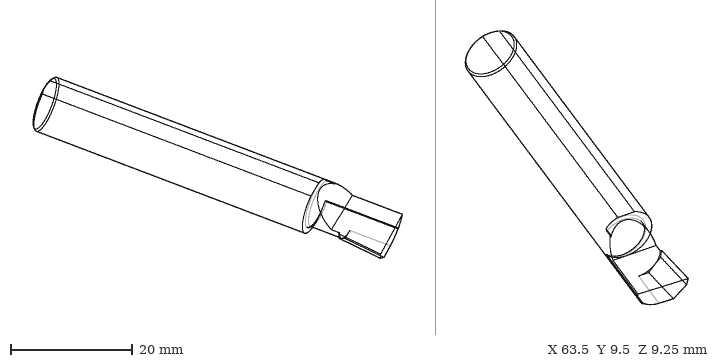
import cadquery as cq
import math

total_length = 63.5
shank_radius = 4.75
shank_length = 49.4
flat_height = 4.5
shank_chamfer = 0.3

neck_radius = 4.0
neck_offset = shank_radius - neck_radius
neck_fillet = 0.4
back_rib_y = 3.75

ramp_foot_x = 54.0

blade_start_x = 55.45
blade_start_y = -3.5
blade_tip_y = -4.3
flank_depth = 1.45
flank_lean = 0.2
lower_flank_angle = 49.0
end_skew = 0.4
end_relief = 0.45


def cylinder_x(radius, start, end, y=0.0):
    return cq.Workplane("YZ", origin=(start, y, 0)).circle(radius).extrude(end - start)


def make_shank():
    shank = cylinder_x(shank_radius, 0, shank_length).faces("<X").chamfer(shank_chamfer)
    above_flat = cq.Workplane("XY", origin=(0, 0, flat_height)).rect(
        2 * total_length, 2 * shank_radius
    ).extrude(shank_radius)
    return shank.cut(above_flat)


def make_neck():
    """Eccentric neck, its base fillet and the full-radius rib along the back."""
    neck = cylinder_x(neck_radius, shank_length, total_length, neck_offset)
    envelope = cylinder_x(shank_radius, shank_length, total_length)
    arc_offset = neck_fillet * (1 - math.sqrt(0.5))
    flare = (
        cq.Workplane("XY")
        .moveTo(shank_length, neck_offset)
        .lineTo(shank_length, shank_radius + neck_fillet)
        .threePointArc(
            (shank_length + arc_offset, shank_radius + arc_offset),
            (shank_length + neck_fillet, shank_radius),
        )
        .lineTo(shank_length + neck_fillet, neck_offset)
        .close()
        .revolve(360, (0, neck_offset, 0), (1, neck_offset, 0))
        .intersect(envelope)
    )
    rib_side = cq.Workplane("XY").box(
        total_length, shank_radius, 2 * shank_radius, centered=(False, False, True)
    ).translate((0, back_rib_y, 0))
    return neck.union(flare).union(envelope.intersect(rib_side))


def blade_section(edge_y):
    """Section points (Y, Z) of the blade for a cutting edge at the given Y."""
    flank_y = edge_y + flank_lean
    lower_run = (neck_radius - flank_depth) / math.tan(math.radians(lower_flank_angle))
    return [
        (edge_y, 0),
        (flank_y, -flank_depth),
        (flank_y + lower_run, -neck_radius),
        (neck_offset, -neck_radius),
        (neck_offset, 0),
    ]


def make_blade():
    return (
        cq.Workplane("YZ", origin=(blade_start_x, 0, 0))
        .polyline(blade_section(blade_start_y)).close()
        .workplane(offset=total_length - blade_start_x)
        .polyline(blade_section(blade_tip_y)).close()
        .loft(ruled=True)
    )


def make_rake_cutter():
    """Everything above the rake face and its 45 degree ramp."""
    top = 2 * shank_radius
    return (
        cq.Workplane("XZ")
        .polyline([
            (ramp_foot_x, 0),
            (shank_length, ramp_foot_x - shank_length),
            (shank_length, top),
            (total_length, top),
            (total_length, 0),
        ])
        .close()
        .extrude(2 * shank_radius, both=True)
    )


def make_end_cutter():
    """Block whose rear face is the skewed and relieved end of the blade."""
    skew_slope = end_skew / (shank_radius - blade_tip_y)
    relief_slope = end_relief / neck_radius
    size = 4 * shank_radius
    face = cq.Plane(
        origin=(total_length, blade_tip_y, 0),
        xDir=(-skew_slope, 1, 0),
        normal=(1, skew_slope, -relief_slope),
    )
    return cq.Workplane(face).rect(size, size).extrude(shank_radius)


head = make_neck().union(make_blade()).cut(make_rake_cutter()).cut(make_end_cutter())
result = make_shank().union(head)